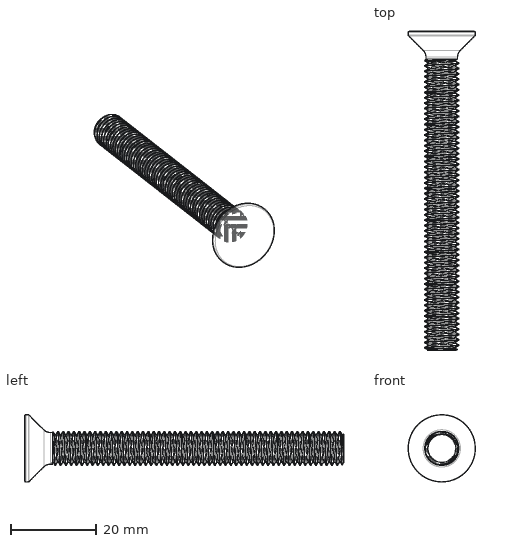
import cadquery as cq
import math

length = 75.0

head_radius = 15.8 / 2
rim_height = 1.0
rim_fillet = 0.3
cone_half_angle = math.radians(45)
neck_radius = 3.75
neck_fillet = 2.2
neck_end = 6.5

major_radius = 8.0 / 2
root_radius = 6.6 / 2
pitch = length / 60
crest_share = 1 / 8
root_share = 1 / 4
crest_angle_at_head = -3.6
flank_steps = 12
piece_count = 9
lead_in = 0.45
tip_chamfer = 0.45


def make_head_and_neck():
    """Flat head, cone, fillet and neck, revolved about Z."""
    cone_end_radius = neck_radius + neck_fillet * (1 - math.cos(cone_half_angle))
    cone_end = rim_height + (head_radius - cone_end_radius) / math.tan(cone_half_angle)
    fillet_end = cone_end + neck_fillet * math.sin(cone_half_angle)
    half_angle = cone_half_angle / 2
    fillet_middle = (
        neck_radius + neck_fillet * (1 - math.cos(half_angle)),
        fillet_end - neck_fillet * math.sin(half_angle),
    )
    head = (
        cq.Workplane("XZ")
        .moveTo(0, 0)
        .lineTo(head_radius, 0)
        .lineTo(head_radius, rim_height)
        .lineTo(cone_end_radius, cone_end)
        .threePointArc(fillet_middle, (neck_radius, fillet_end))
        .lineTo(neck_radius, neck_end)
        .lineTo(0, neck_end)
        .close()
        .revolve(360, (0, 0, 0), (0, 1, 0))
    )
    rim_edges = cq.selectors.RadiusNthSelector(-1)
    return head.edges(rim_edges).fillet(rim_fillet)


def polar(radius, turn):
    angle = 2 * math.pi * turn
    return (radius * math.cos(angle), radius * math.sin(angle))


def falling_flank(t):
    """Spiral from the crest (t = 0) to the root (t = 1) in a cut across the axis."""
    first_turn = crest_share / 2
    last_turn = (1 - root_share) / 2
    radius = major_radius + (root_radius - major_radius) * t
    return polar(radius, first_turn + (last_turn - first_turn) * t)


def rising_flank(t):
    x, y = falling_flank(1 - t)
    return (x, -y)


def make_thread_piece(start, end):
    """Threaded rod between two heights: its cross section twisted along the axis."""
    turns = (end - start) / pitch
    section = (
        cq.Workplane("XY")
        .moveTo(*rising_flank(1))
        .threePointArc((major_radius, 0), falling_flank(0))
        .parametricCurve(falling_flank, N=flank_steps, makeWire=False)
        .moveTo(*falling_flank(1))
        .threePointArc((-root_radius, 0), rising_flank(0))
        .parametricCurve(rising_flank, N=flank_steps, makeWire=False)
        .wire()
    )
    start_angle = crest_angle_at_head + 360 * start / pitch
    piece = section.twistExtrude(end - start, 360 * turns)
    return piece.rotate((0, 0, 0), (0, 0, 1), start_angle).translate((0, 0, start))


def make_frustum(start, start_radius, end, end_radius):
    """Solid cone frustum between two heights."""
    return (
        cq.Workplane("XZ")
        .polyline([(0, start), (start_radius, start), (end_radius, end), (0, end)])
        .close()
        .revolve(360, (0, 0, 0), (0, 1, 0))
    )


def make_screw():
    """Join the parts by sewing their outer faces, leaving out the flat faces where they meet."""
    thread_start = neck_end + lead_in
    thread_end = length - tip_chamfer
    lead_cone = make_frustum(neck_end, neck_radius, thread_start, major_radius)
    lead = make_thread_piece(neck_end, thread_start).intersect(lead_cone)
    tip_cone = make_frustum(thread_end, major_radius, length, root_radius)
    tip = make_thread_piece(thread_end, length).intersect(tip_cone)

    faces = make_head_and_neck().union(lead).faces("not >Z").vals()
    piece_length = (thread_end - thread_start) / piece_count
    for index in range(piece_count):
        start = thread_start + index * piece_length
        piece = make_thread_piece(start, start + piece_length)
        faces += piece.faces("not(<Z or >Z)").vals()
    faces += tip.faces("not <Z").vals()
    return cq.Workplane(cq.Solid.makeSolid(cq.Shell.makeShell(faces)))


result = make_screw().rotate((0, 0, 0), (1, 0, 0), 90)